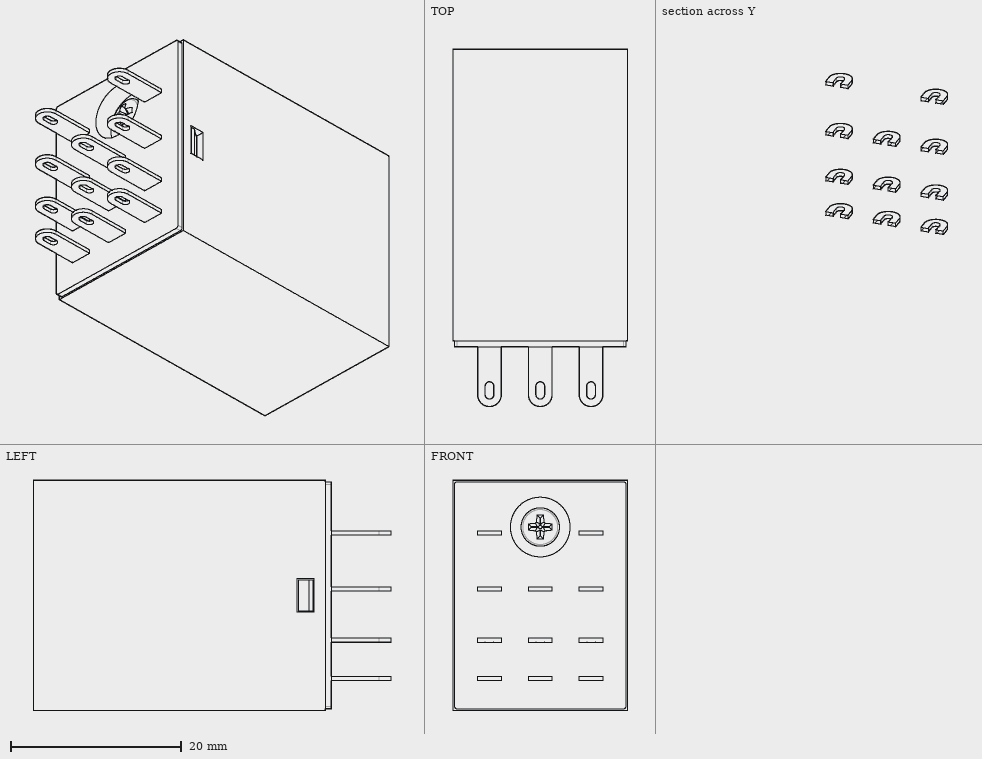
import cadquery as cq
import math


housing_width = 20.5
housing_height = 27.0
overall_length = 41.9
terminal_length = 7.0
flange_thickness = 0.7
flange_inset = 0.2
flange_corner_radius = 0.3
housing_length = overall_length - terminal_length - flange_thickness

terminal_width = 2.8
terminal_thickness = 0.5
terminal_embed = 1.0
eyelet_width = 1.0
eyelet_length = 2.0
column_pitch = 5.95
side_columns = (-column_pitch, column_pitch)
all_columns = (-column_pitch, 0, column_pitch)
terminal_rows = (
    (7.3, side_columns),
    (0.75, all_columns),
    (-5.25, all_columns),
    (-9.75, all_columns),
)

screw_height = 8.0
recess_diameter = 7.0
recess_depth = 2.5
head_diameter = 4.5
head_rim_height = 1.1
head_crown_height = 1.7
head_crown_diameter = 4.1
cross_length = 3.0
cross_width = 0.95
cross_bottom_width = 0.1
cross_depth = 1.0
cross_cone_depth = 1.3
cross_cone_top_diameter = 1.5
cross_cone_bottom_diameter = 0.4

window_length = 2.0
window_height = 3.9
window_depth = 1.0
window_center_y = 3.0
latch_gap = 0.13
latch_land_length = 0.5
latch_recess = 0.1


def block(size_x, size_y, size_z, y_start=0.0):
    """Block centred in X and Z that runs from y_start towards +Y."""
    return cq.Workplane("XY").box(size_x, size_y, size_z).translate((0, y_start + size_y / 2, 0))


def make_body():
    housing = block(housing_width, housing_length, housing_height, flange_thickness)
    flange = block(
        housing_width - 2 * flange_inset,
        flange_thickness,
        housing_height - 2 * flange_inset,
    )
    flange = flange.edges("|Y").fillet(flange_corner_radius)
    return housing.union(flange)


def make_terminal(x, z):
    """Flat tab with a round tip and an eyelet slot concentric with the tip."""
    half_width = terminal_width / 2
    tip_center_y = half_width - terminal_length
    eyelet_center_y = tip_center_y + (eyelet_length - eyelet_width) / 2
    tab = (
        cq.Workplane("XY")
        .moveTo(-half_width, terminal_embed)
        .lineTo(-half_width, tip_center_y)
        .threePointArc((0, -terminal_length), (half_width, tip_center_y))
        .lineTo(half_width, terminal_embed)
        .close()
        .extrude(terminal_thickness / 2, both=True)
    )
    eyelet = (
        cq.Workplane("XY")
        .center(0, eyelet_center_y)
        .slot2D(eyelet_length, eyelet_width, 90)
        .extrude(terminal_thickness, both=True)
    )
    return tab.cut(eyelet).translate((x, 0, z))


def make_recess():
    return (
        cq.Workplane("XZ", origin=(0, recess_depth, screw_height))
        .circle(recess_diameter / 2)
        .extrude(recess_depth)
    )


def make_cross_bar(size_x, size_z):
    """Tapered slot of the cross drive, sunk from the crown of the screw head."""
    crown_y = recess_depth - head_crown_height
    taper = math.degrees(math.atan((cross_width - cross_bottom_width) / 2 / cross_depth))
    return (
        cq.Workplane("XZ", origin=(0, crown_y, screw_height))
        .rect(size_x, size_z)
        .extrude(-cross_depth, taper=taper)
    )


def make_cross_cone():
    """Conical centre of the cross drive."""
    crown_y = recess_depth - head_crown_height
    return cq.Workplane(
        cq.Solid.makeCone(
            cross_cone_top_diameter / 2,
            cross_cone_bottom_diameter / 2,
            cross_cone_depth,
            pnt=cq.Vector(0, crown_y, screw_height),
            dir=cq.Vector(0, 1, 0),
        )
    )


def make_screw():
    """Domed screw head standing on the recess floor."""
    crown_radius = head_crown_diameter / 2
    crown_rise = head_crown_height - head_rim_height
    dome_radius = (crown_radius**2 + crown_rise**2) / (2 * crown_rise)
    mid_radius = crown_radius / 2
    mid_height = head_crown_height - dome_radius + math.sqrt(dome_radius**2 - mid_radius**2)
    rim_chamfer = (head_diameter - head_crown_diameter) / 2
    head = (
        cq.Workplane("XY")
        .lineTo(head_diameter / 2, 0)
        .lineTo(head_diameter / 2, -head_rim_height + rim_chamfer)
        .lineTo(crown_radius, -head_rim_height)
        .threePointArc((mid_radius, -mid_height), (0, -head_crown_height))
        .close()
        .revolve(360, (0, 0, 0), (0, 1, 0))
        .translate((0, recess_depth, screw_height))
    )
    head = head.cut(make_cross_bar(cross_length, cross_width))
    head = head.cut(make_cross_bar(cross_width, cross_length))
    return head.cut(make_cross_cone())


def make_window():
    """Window pocket in the -X wall."""
    return (
        cq.Workplane("XY")
        .box(window_depth, window_length, window_height)
        .translate(((window_depth - housing_width) / 2, window_center_y, 0))
    )


def make_latch():
    """Hook in the -X window: a flat land, then a ramp falling to the window floor towards +Y."""
    floor_x = window_depth - housing_width / 2
    land_x = latch_recess - housing_width / 2
    front_y = window_center_y - window_length / 2 + latch_gap
    back_y = window_center_y + window_length / 2 - latch_gap
    return (
        cq.Workplane("XY")
        .moveTo(floor_x, front_y)
        .lineTo(land_x, front_y)
        .lineTo(land_x, front_y + latch_land_length)
        .lineTo(floor_x, back_y)
        .close()
        .extrude(window_height / 2 - latch_gap, both=True)
    )


result = make_body().cut(make_recess()).union(make_screw())

snap = make_window().cut(make_latch())
result = result.cut(snap).cut(snap.mirror("YZ"))

for row_height, columns in terminal_rows:
    for column_x in columns:
        result = result.union(make_terminal(column_x, row_height))